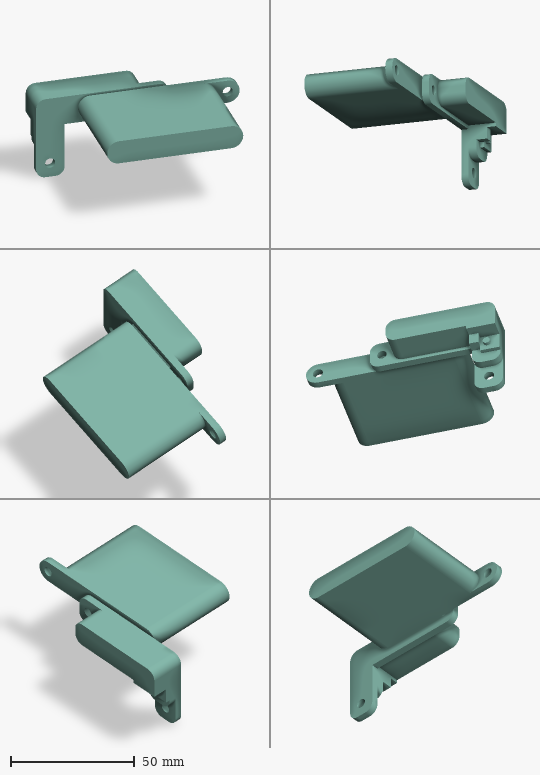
import cadquery as cq

total_length = 84.3
total_width = 58.9
total_height = 35.5
plate_thickness = 3.0
screw_hole_diameter = 4.2

wide_height = 10.0
wide_x_start = 16.95
wide_y_start = 17.1
wide_tab_length = 9.9
wide_radius = wide_height / 2
wide_tab_hole_y = total_length - wide_radius

angled_width = 15.0
angled_length = 56.0
corner_radius = 4.0
bar_height = 11.0
tab_height = 12.5
angled_tab_length = 10.0
angled_tab_hole_from_end = 5.1
angled_tab_hole_depth = 6.4
angled_tab_hole_diameter = 4.05
leg_length = 12.05
leg_hole_y = 5.9
leg_hole_depth = 29.3
plate_x_start = angled_width - plate_thickness

block_face_x = 3.9
block_bottom = 17.3
pocket_face_x = 6.7
pocket_length = 8.1
pocket_bottom = 19.55
lower_step_face_x = 8.4
lower_step_bottom = 24.4

boss_diameter = 3.0
boss_projection = 1.5
boss_y = 5.15
boss_depth = 15.9

link_top = 3.6
link_thickness = 2.5
link_angled_y_range = (19.6, 44.85)
link_wide_y_range = (20.5, 45.2)


def box_between(x_range, y_range, depth_range):
    """Box between two X values, two Y values and two depths below Z = 0."""
    size_x = x_range[1] - x_range[0]
    size_y = y_range[1] - y_range[0]
    size_z = depth_range[1] - depth_range[0]
    box = cq.Workplane("XY").box(size_x, size_y, size_z, centered=False)
    return box.translate((x_range[0], y_range[0], -depth_range[1]))


def cylinder_along_x(x_range, y, depth, diameter):
    """Cylinder parallel to X, centred at the given Y and depth."""
    return (
        cq.Workplane("YZ", origin=(x_range[0], y, -depth))
        .circle(diameter / 2)
        .extrude(x_range[1] - x_range[0])
    )


def stadium_along_x(x_range, y_range):
    """Slab of the wide housing's height with half-round ends."""
    length = y_range[1] - y_range[0]
    center_y = sum(y_range) / 2
    return (
        cq.Workplane("YZ", origin=(x_range[0], center_y, -wide_radius))
        .slot2D(length, wide_height)
        .extrude(x_range[1] - x_range[0])
    )


def make_wide_housing():
    plate_range = (wide_x_start, wide_x_start + plate_thickness)
    plate = stadium_along_x(plate_range, (wide_y_start, total_length))
    body = stadium_along_x(
        (wide_x_start, total_width), (wide_y_start, total_length - wide_tab_length)
    )
    hole = cylinder_along_x(plate_range, wide_tab_hole_y, wide_radius, screw_hole_diameter)
    return plate.union(body).cut(hole)


def make_bar():
    """Thick bar with its +Y end rounded, short of the tab."""
    bar = box_between((0, angled_width), (0, angled_length - angled_tab_length), (0, bar_height))
    return bar.edges("|X and >Y").fillet(corner_radius)


def make_tab_plate():
    """Back plate that runs past the bar to the +Y tab."""
    plate = box_between((plate_x_start, angled_width), (0, angled_length), (0, tab_height))
    return plate.edges("|X and >Y").fillet(corner_radius)


def make_leg():
    """Stepped leg hanging down at the -Y end."""
    full_y = (0, leg_length)
    base = box_between((0, angled_width), full_y, (0, tab_height))
    block = box_between((block_face_x, angled_width), (pocket_length, leg_length), (0, block_bottom))
    pocket_wall = box_between((pocket_face_x, angled_width), (0, pocket_length), (0, pocket_bottom))
    lower_step = box_between((lower_step_face_x, angled_width), full_y, (0, lower_step_bottom))
    lower_step = lower_step.edges("|X and <Z").fillet(corner_radius)
    plate = box_between((plate_x_start, angled_width), full_y, (0, total_height))
    plate = plate.edges("|X and <Z").fillet(corner_radius)
    boss = cylinder_along_x(
        (pocket_face_x - boss_projection, pocket_face_x), boss_y, boss_depth, boss_diameter
    )
    return base.union(block).union(pocket_wall).union(lower_step).union(plate).union(boss)


def make_angled_housing():
    housing = make_bar().union(make_tab_plate()).union(make_leg())
    housing = housing.edges("|X and <Y and >Z").fillet(corner_radius)
    plate_range = (plate_x_start, angled_width)
    tab_hole = cylinder_along_x(
        plate_range,
        angled_length - angled_tab_hole_from_end,
        angled_tab_hole_depth,
        angled_tab_hole_diameter,
    )
    leg_hole = cylinder_along_x(plate_range, leg_hole_y, leg_hole_depth, screw_hole_diameter)
    return housing.cut(tab_hole).cut(leg_hole)


def make_link():
    """Flat link with slanted ends, touching both housings."""
    return (
        cq.Workplane("XY", origin=(0, 0, -link_top))
        .moveTo(angled_width, link_angled_y_range[0])
        .lineTo(wide_x_start, link_wide_y_range[0])
        .lineTo(wide_x_start, link_wide_y_range[1])
        .lineTo(angled_width, link_angled_y_range[1])
        .close()
        .extrude(-link_thickness)
    )


wide_housing = make_wide_housing()
angled_housing = make_angled_housing()
link = make_link()

result = cq.Compound.makeCompound(
    [wide_housing.solids().val(), angled_housing.solids().val(), link.val()]
)